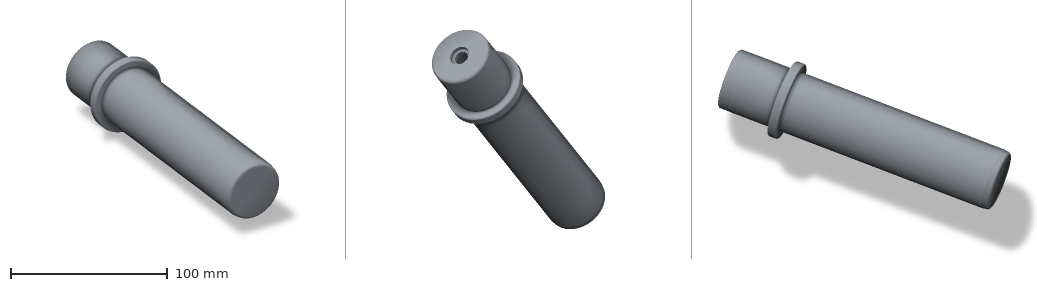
import cadquery as cq
import math

length = 187.0
shaft_radius = 20.0
collar_radius = 25.53

collar_start = 36.8
collar_width = 6.2
collar_end = collar_start + collar_width
collar_chamfer = 0.5

undercut_depth = 0.28
undercut_front_length = 1.1
undercut_rear_length = 1.9
undercut_outer_radius = 21.1

front_round = 1.9
front_taper_length = 9.7
front_taper_drop = 0.1
lead_in_length = 4.9
lead_in_taper_length = 2.8
lead_in_drop = 0.47
rear_round = 1.9

counterbore_radius = 6.5
counterbore_depth = 2.8
hole_radius = 4.5
hole_depth = 18.7
drill_point_angle = 120.0


def revolve_about_x(profile):
    """Turn a closed profile drawn as (x, radius) into a solid of revolution."""
    return profile.close().revolve(360, (0, 0, 0), (1, 0, 0))


def make_shaft():
    lead_in_radius = shaft_radius - lead_in_drop
    profile = (
        cq.Workplane("XY")
        .lineTo(0, shaft_radius - front_taper_drop)
        .lineTo(front_taper_length, shaft_radius)
        .lineTo(length - lead_in_length, shaft_radius)
        .lineTo(length - lead_in_length + lead_in_taper_length, lead_in_radius)
        .lineTo(length, lead_in_radius)
        .lineTo(length, 0)
    )
    shaft = revolve_about_x(profile)
    shaft = shaft.faces("<X").edges().fillet(front_round)
    return shaft.faces(">X").edges().fillet(rear_round)


def make_collar():
    collar = cq.Workplane("YZ", origin=(collar_start, 0, 0)).circle(collar_radius).extrude(collar_width)
    return collar.edges().chamfer(collar_chamfer)


def make_ring(start, end, inner_radius, outer_radius):
    ring = cq.Workplane("YZ", origin=(start, 0, 0)).circle(outer_radius).circle(inner_radius)
    return ring.extrude(end - start)


def make_undercuts():
    root_radius = shaft_radius - undercut_depth
    front = make_ring(
        collar_start - undercut_front_length, collar_start + undercut_depth,
        root_radius, undercut_outer_radius,
    )
    rear = make_ring(
        collar_end - undercut_depth, collar_end + undercut_rear_length,
        root_radius, undercut_outer_radius,
    )
    return front.union(rear)


def make_centre_hole():
    point_depth = hole_radius / math.tan(math.radians(drill_point_angle / 2))
    profile = (
        cq.Workplane("XY")
        .lineTo(0, counterbore_radius)
        .lineTo(counterbore_depth, counterbore_radius)
        .lineTo(counterbore_depth, hole_radius)
        .lineTo(hole_depth, hole_radius)
        .lineTo(hole_depth + point_depth, 0)
    )
    return revolve_about_x(profile)


result = make_shaft().union(make_collar()).cut(make_undercuts()).cut(make_centre_hole())